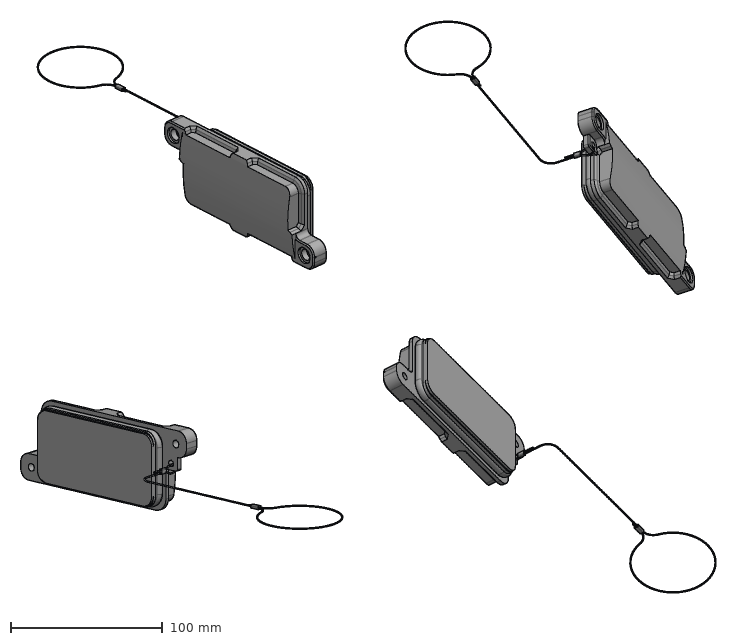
import cadquery as cq
import math


right_end = 299.7
height = 58.0
mid_z = height / 2
front_margin = -3.0
rim_y = 14.5
crown_margin = 3.0
crown_depth = 4.0

box_left = 172.5
box_right = 281.7
mid_x = (box_left + box_right) / 2
box_corner = 9.3
lobe_height = 18.3
lobe_corner = 7.2
lobe_front_y = 3.0
lobe_root_fillet = 3.5
edge_break = 1.0

screw_from_end = 9.3
screw_z = 9.3
screw_radius = 2.55
bore_radius = 4.0
bore_depth = 4.5
recess_radius = 5.7
recess_depth = 1.5

nib_length = 0.3
nib_radius = 0.45
nib_y = 4.5
nib_z = 11.5

pocket_depth = 4.0
pocket_slope = 2.0
lip_depth = 1.8
lip_slope = 1.35
pocket_corner = 3.3
pocket_back_y = 11.7
pocket_outer = 174.0
pocket_inner = 220.5
wrap_start_x = 233.7
wrap_end_z = 22.2

seal_length = 105.5
seal_height = 53.0
seal_corner = 10.5
seal_back_y = 19.5
seal_bulge = 1.5
neck_length = 100.0
neck_height = 51.3
neck_back_y = 21.5
plate_height = 49.5
plate_back_y = 23.5
plate_corner = 7.5

lug_left = 162.3
lug_bottom = 30.0
lug_front_y = 10.0
lug_corner = 1.5
lug_overlap = 1.5
lug_hole_x = 168.0
lug_hole_z = 34.5
lug_hole_radius = 2.0

wire_radius = 0.45
wire_x = 168.3
wire_z = 30.0
strand_offset = 0.5
loop_outer_radius = 28.5
loop_radius = loop_outer_radius - wire_radius
loop_y = 45.0
loop_x = loop_outer_radius
flare_reach = 35.7
bend_radius = 8.5
crimp_start = 63.5
crimp_length = 6.5
crimp_width = 3.3
crimp_height = 2.5
crimp_round = 0.5
tail_length = 3.0
tie_radius = 3.0
tie_y = lug_front_y + tie_radius - wire_radius / 2
tie_z = 30.5
tie_crimp_y = 19.5
tie_crimp_length = 4.8
tie_crimp_width = 2.0
tie_crimp_height = 3.5
tie_tail_z = 31.8
tie_tail_end_y = 31.2


def slab(front_y, back_y):
    """Sketch plane at front_y whose local axes are X and Z, with the distance to back_y."""
    plane = cq.Workplane(cq.Plane((0, front_y, 0), xDir=(1, 0, 0), normal=(0, -1, 0)))
    return plane, front_y - back_y


def block(x0, x1, z0, z1, front_y, back_y):
    plane, depth = slab(front_y, back_y)
    return plane.center((x0 + x1) / 2, (z0 + z1) / 2).rect(x1 - x0, z1 - z0).extrude(depth)


def cylinder(x, z, radius, front_y, back_y):
    plane, depth = slab(front_y, back_y)
    return plane.center(x, z).circle(radius).extrude(depth)


def half_turn(shape):
    """Copy of a shape turned 180 degrees about the housing's Y centre line."""
    return shape.rotate((mid_x, 0, mid_z), (mid_x, 1, mid_z), 180)


def box_core(inset, front_y, back_y):
    """Main box shrunk by inset, rounded at its lower-left and upper-right corners."""
    core = block(box_left + inset, box_right - inset, inset, height - inset, front_y, back_y)
    lower_left = cq.selectors.NearestToPointSelector((box_left, (front_y + back_y) / 2, 0))
    upper_right = cq.selectors.NearestToPointSelector((box_right, (front_y + back_y) / 2, height))
    core = core.edges(lower_left).fillet(box_corner - inset)
    return core.edges(upper_right).fillet(box_corner - inset)


def right_lobe():
    lobe = block(box_right - box_corner, right_end, 0, lobe_height, lobe_front_y, rim_y)
    lobe = lobe.edges("|Y and >X").fillet(lobe_corner)
    web = block(
        box_right, box_right + lobe_root_fillet,
        lobe_height, lobe_height + lobe_root_fillet, lobe_front_y, rim_y,
    )
    hollow = cylinder(
        box_right + lobe_root_fillet, lobe_height + lobe_root_fillet, lobe_root_fillet,
        lobe_front_y, rim_y,
    )
    lobe = lobe.union(web.cut(hollow))
    return lobe.faces("<Y").edges().chamfer(edge_break)


def crown():
    """Envelope along X whose front is a shallow arc, furthest forward at mid height."""
    crown_radius = (mid_z ** 2 + crown_depth ** 2) / (2 * crown_depth)
    half_span = mid_z + crown_margin
    edge_y = crown_radius - math.sqrt(crown_radius ** 2 - half_span ** 2)
    back_y = rim_y + crown_margin
    return (
        cq.Workplane("YZ")
        .moveTo(edge_y, mid_z - half_span)
        .threePointArc((0, mid_z), (edge_y, mid_z + half_span))
        .lineTo(back_y, mid_z + half_span)
        .lineTo(back_y, mid_z - half_span)
        .close()
        .extrude(right_end + crown_margin)
    )


def screw_hole():
    x = right_end - screw_from_end
    bore_start = lobe_front_y + recess_depth
    hole = cylinder(x, screw_z, screw_radius, 0, rim_y)
    hole = hole.union(cylinder(x, screw_z, bore_radius, 0, bore_start + bore_depth))
    return hole.union(cylinder(x, screw_z, recess_radius, 0, bore_start))


def wall_taper(run, drop):
    """Draft angle in degrees of a wall that moves sideways by run over a height of drop."""
    return math.degrees(math.atan2(run, drop))


def pocket_core():
    """Material left inside the pockets: floor walls that flare outward to the back wall."""
    turn_y = pocket_back_y - lip_slope
    floor_end_y = pocket_back_y - pocket_slope
    core = box_core(pocket_depth, front_margin, pocket_back_y)
    stages = [
        (pocket_depth, lip_depth, floor_end_y, turn_y),
        (lip_depth, 0, turn_y, pocket_back_y),
    ]
    for inset, end_inset, front_y, back_y in stages:
        run = back_y - front_y
        taper = wall_taper(inset - end_inset, run)
        base = box_core(inset, front_y, back_y).faces("<Y").wires().val()
        core = core.union(cq.Workplane("XZ").add(base).toPending().extrude(-run, taper=-taper))
    return core


def pocket_zone(length):
    """Pocket of one straight wall: starts at X = 0, with the wall's outer face at Z = 0."""
    steep_drop = pocket_depth - lip_depth
    mouth = cq.Workplane("XY").rect(length, 2 * pocket_back_y).extrude(-lip_depth)
    mouth = mouth.edges("|Z").chamfer(pocket_corner)
    lip = mouth.faces(">Z").wires().toPending().extrude(
        -lip_depth, combine=False, taper=wall_taper(lip_slope, lip_depth)
    )
    steep = lip.faces("<Z").wires().toPending().workplane().extrude(
        steep_drop, combine=False, taper=wall_taper(pocket_slope - lip_slope, steep_drop)
    )
    return lip.union(steep).translate((length / 2, 0, 0))


def pockets():
    """Short and corner-wrapping pockets, and the same pair half a turn round the housing."""
    overrun = box_corner
    short = pocket_zone(pocket_inner - pocket_outer).translate((pocket_outer, 0, height))
    along_top = pocket_zone(box_right + overrun - wrap_start_x).translate((wrap_start_x, 0, height))
    down_side = (
        pocket_zone(height + overrun - wrap_end_z)
        .rotate((0, 0, 0), (0, 1, 0), 90)
        .translate((box_right, 0, height + overrun))
    )
    corner = block(
        box_right - box_corner, box_right, height - box_corner, height, front_margin, pocket_back_y
    )
    wrapped = along_top.union(down_side).union(corner).cut(pocket_core())
    pair = short.union(wrapped)
    return pair.union(half_turn(pair))


def nib():
    base_x = right_end - nib_length
    return (
        cq.Workplane("YZ", origin=(base_x, nib_y, nib_z))
        .circle(nib_radius)
        .extrude(2 * nib_length)
    )


def housing():
    lobe = right_lobe().intersect(crown())
    body = box_core(0, front_margin, rim_y).intersect(crown())
    body = body.union(lobe).union(half_turn(lobe))
    hole = screw_hole()
    return body.cut(hole).cut(half_turn(hole)).cut(pockets())


def back_layer(length, tall, corner, front_y, back_y):
    layer = block(
        mid_x - length / 2, mid_x + length / 2,
        mid_z - tall / 2, mid_z + tall / 2, front_y, back_y,
    )
    return layer.edges("|Y").fillet(corner)


def back_stack():
    seal = back_layer(
        seal_length - 2 * seal_bulge, seal_height - 2 * seal_bulge,
        seal_corner - seal_bulge, rim_y, seal_back_y,
    )
    half_thickness = (seal_back_y - rim_y) / 2
    rim = seal.faces("<Y").wires().val().translate(cq.Vector(0, half_thickness, 0))
    section = cq.Plane(rim.startPoint(), xDir=(0, 1, 0), normal=rim.tangentAt(0))
    bead = cq.Workplane(section).ellipse(half_thickness, seal_bulge).sweep(rim)
    seal = seal.union(bead)
    neck = back_layer(neck_length, neck_height, plate_corner, rim_y, neck_back_y)
    plate = back_layer(neck_length, plate_height, plate_corner, rim_y, plate_back_y)
    return seal.union(neck).union(plate)


def lug():
    lug_top = height - lobe_height
    ear = block(lug_left, box_left + lug_overlap, lug_bottom, lug_top, lug_front_y, rim_y)
    ear = ear.edges("|Y and <X and <Z").fillet(lug_corner)
    ear = ear.faces("<Y").edges("<X or <Z").chamfer(edge_break)
    return ear.cut(cylinder(lug_hole_x, lug_hole_z, lug_hole_radius, lug_front_y, rim_y))


def wire(path, start, direction):
    """Round wire swept along a path from its start point."""
    section = cq.Workplane(cq.Plane(start, normal=direction)).circle(wire_radius)
    return section.sweep(path)


def lanyard_loop():
    """Circular loop whose two ends flare tangentially into a pair of parallel strands."""
    flare_radius = (flare_reach ** 2 + strand_offset ** 2 - loop_radius ** 2) / (
        2 * (loop_radius - strand_offset)
    )
    flare_y = flare_radius + strand_offset
    angle = math.atan2(flare_y, flare_reach)
    join_x = loop_radius * math.cos(angle)
    join_y = loop_radius * math.sin(angle)
    mid_angle = (angle + math.pi / 2) / 2
    mid_flare_x = flare_reach - flare_radius * math.cos(mid_angle)
    mid_flare_y = flare_y - flare_radius * math.sin(mid_angle)
    strand_end = crimp_start + crimp_length + tail_length - loop_x
    path = (
        cq.Workplane("XY", origin=(loop_x, loop_y, wire_z))
        .moveTo(strand_end, -strand_offset)
        .lineTo(flare_reach, -strand_offset)
        .threePointArc((mid_flare_x, -mid_flare_y), (join_x, -join_y))
        .threePointArc((-loop_radius, 0), (join_x, join_y))
        .threePointArc((mid_flare_x, mid_flare_y), (flare_reach, strand_offset))
        .lineTo(wire_x - bend_radius - loop_x, strand_offset)
        .radiusArc((wire_x - loop_x, strand_offset - bend_radius), bend_radius)
        .lineTo(wire_x - loop_x, tie_crimp_y - loop_y)
    )
    start = (loop_x + strand_end, loop_y - strand_offset, wire_z)
    return wire(path, start, (-1, 0, 0))


def lug_tie():
    """Closed turn of wire from the tie crimp, through the lug hole and back."""
    spread_y = rim_y + wire_radius
    top = tie_z + tie_radius
    bottom = tie_z - tie_radius
    path = (
        cq.Workplane("YZ", origin=(wire_x, 0, 0))
        .moveTo(tie_crimp_y + wire_radius, tie_tail_z)
        .lineTo(spread_y, top)
        .lineTo(tie_y, top)
        .threePointArc((tie_y - tie_radius, tie_z), (tie_y, bottom))
        .lineTo(spread_y, bottom)
        .lineTo(tie_crimp_y + wire_radius, wire_z)
    )
    start = (wire_x, tie_crimp_y + wire_radius, tie_tail_z)
    direction = (0, spread_y - start[1], top - tie_tail_z)
    section = cq.Workplane(cq.Plane(start, normal=direction)).circle(wire_radius)
    turn = section.sweep(path, transition="round")
    tail = (
        cq.Workplane("XZ", origin=(wire_x, tie_crimp_y, tie_tail_z))
        .circle(wire_radius)
        .extrude(tie_crimp_y - tie_tail_end_y)
    )
    return turn.union(tail)


def crimps():
    loop_crimp = (
        cq.Workplane("YZ", origin=(crimp_start, loop_y, wire_z))
        .rect(crimp_width, crimp_height)
        .extrude(crimp_length)
        .edges("|X").fillet(crimp_round)
    )
    tie_crimp = (
        cq.Workplane("XZ", origin=(wire_x, tie_crimp_y, (wire_z + tie_tail_z) / 2))
        .rect(tie_crimp_width, tie_crimp_height)
        .extrude(-tie_crimp_length)
        .edges("|Y").fillet(crimp_round)
    )
    return loop_crimp.union(tie_crimp)


result = (
    housing()
    .union(nib())
    .union(back_stack())
    .union(lug())
    .union(crimps())
    .union(lanyard_loop())
    .union(lug_tie())
)